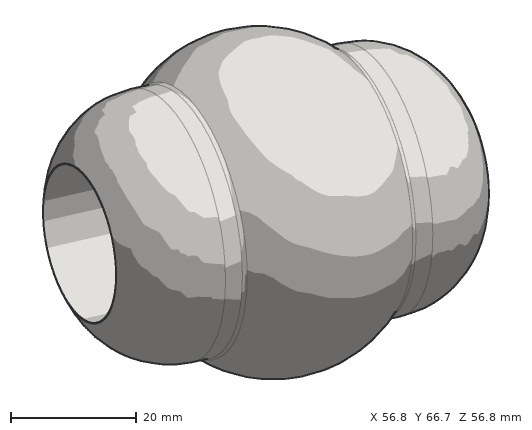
import cadquery as cq
import math

length = 66.7
belly_radius = 28.4
belly_arc_radius = 22.0
collar_radius = 22.4
collar_outer_y = 18.55
end_radius = 13.1
bore_radius = 12.95
neck_fillet = 1.1

half_length = length / 2

belly_center_radius = belly_radius - belly_arc_radius
neck_y = math.sqrt(belly_arc_radius**2 - (collar_radius - belly_center_radius)**2)

dome_length = half_length - collar_outer_y
dome_drop = collar_radius - end_radius
dome_arc_radius = (dome_length**2 + dome_drop**2) / (2 * dome_drop)
dome_half_angle = math.atan2(dome_length, dome_arc_radius - dome_drop) / 2
dome_mid_radius = collar_radius - dome_arc_radius * (1 - math.cos(dome_half_angle))
dome_mid_y = collar_outer_y + dome_arc_radius * math.sin(dome_half_angle)

profile = (
    cq.Workplane("XY")
    .moveTo(bore_radius, -half_length)
    .lineTo(end_radius, -half_length)
    .threePointArc((dome_mid_radius, -dome_mid_y), (collar_radius, -collar_outer_y))
    .lineTo(collar_radius, -neck_y)
    .threePointArc((belly_radius, 0), (collar_radius, neck_y))
    .lineTo(collar_radius, collar_outer_y)
    .threePointArc((dome_mid_radius, dome_mid_y), (end_radius, half_length))
    .lineTo(bore_radius, half_length)
    .close()
)
body = profile.revolve(360, (0, 0, 0), (0, 1, 0))

result = body
for side in (-1, 1):
    neck_corner = cq.selectors.BoxSelector(
        (-neck_fillet, side * neck_y - neck_fillet, -neck_fillet),
        (neck_fillet, side * neck_y + neck_fillet, neck_fillet),
    )
    result = result.edges(neck_corner).fillet(neck_fillet)